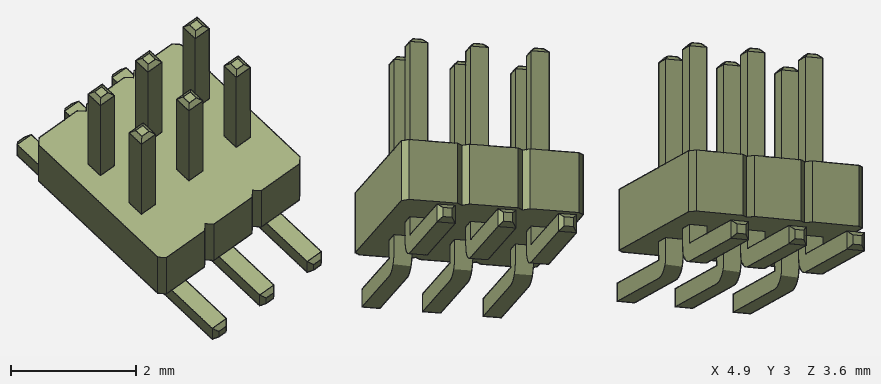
import cadquery as cq

PITCH = 1.0
ROWS = 3
TIP_SPAN = 4.9
TOTAL_HEIGHT = 3.6

BODY_WIDTH = 3.1
BODY_LENGTH = ROWS * PITCH
BODY_HEIGHT = PITCH
BODY_BOTTOM = 0.605
CORNER_CUT = 0.1

PIN = 0.3
BEND_RADIUS = PIN
TIP_LENGTH = 0.075
TIP_INSET = 0.075

row_positions = [(i - (ROWS - 1) / 2) * PITCH for i in range(ROWS)]


def make_body():
    """Block with cut corners and V notches between the rows."""
    half_width = BODY_WIDTH / 2
    right_side = []
    for y in row_positions:
        right_side += [
            (half_width - CORNER_CUT, y - PITCH / 2),
            (half_width, y - PITCH / 2 + CORNER_CUT),
            (half_width, y + PITCH / 2 - CORNER_CUT),
        ]
    right_side.append((half_width - CORNER_CUT, BODY_LENGTH / 2))
    left_side = [(-x, y) for x, y in reversed(right_side)]
    return (
        cq.Workplane("XY", origin=(0, 0, BODY_BOTTOM))
        .polyline(right_side + left_side)
        .close()
        .extrude(BODY_HEIGHT)
    )


def make_pin(y):
    """L-shaped pin at +X, its foot pointing outward, with both ends tapered."""
    inner_x = (PITCH - PIN) / 2
    outer_x = inner_x + PIN
    foot_end = TIP_SPAN / 2
    blank = (
        cq.Workplane("XZ", origin=(0, y + PIN / 2, 0))
        .moveTo(inner_x, TOTAL_HEIGHT)
        .lineTo(inner_x, BEND_RADIUS)
        .radiusArc((inner_x + BEND_RADIUS, 0), -BEND_RADIUS)
        .lineTo(foot_end, 0)
        .lineTo(foot_end, PIN)
        .lineTo(outer_x, PIN)
        .lineTo(outer_x, TOTAL_HEIGHT)
        .close()
        .extrude(PIN)
    )
    top_tapered = blank.faces(">Z").chamfer(TIP_LENGTH, TIP_INSET)
    return top_tapered.faces(">X").chamfer(TIP_LENGTH, TIP_INSET)


result = make_body()
for row_y in row_positions:
    pin = make_pin(row_y)
    result = result.union(pin).union(pin.mirror("YZ"))